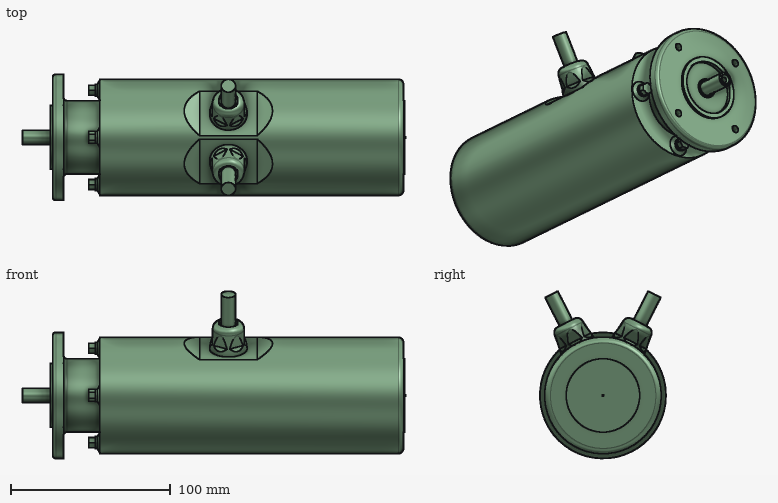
import cadquery as cq
import math


shaft_diameter = 9
shaft_length = 19
shaft_chamfer = 0.25
center_hole_diameter = 3.43
center_hole_depth = 8
center_hole_tip_angle = 120
center_sink_diameter = 6
seal_outer_diameter = 12
seal_inner_diameter = 10.8
seal_height = 1

flange_diameter = 79
flange_thickness = 7
flange_front_fillet = 2
rim_outer_diameter = 40
rim_inner_diameter = 34
rim_height = 1.5
rim_recess_depth = 2.5
mount_hole_diameter = 4.5
mount_circle_diameter = 63
mount_hole_count = 4
mount_first_angle = 45

rim_recess_floor = rim_recess_depth - rim_height

neck_diameter = 46
neck_fillet = 2

housing_diameter = 73
housing_front = 29.6
housing_back = 219.6
housing_back_fillet = 3.5
back_plate_diameter = 46
back_plate_thickness = 0.7
back_pin_diameter = 1
overall_length = 240

screw_count = 4
screw_circle_diameter = 59
screw_seat_diameter = 12.8
screw_seat_height = 1.6
screw_collar_diameter = 7.65
screw_collar_height = 1.4
screw_head_across_flats = 6.5
screw_head_height = 4

gland_position = 110
gland_tilts = (-27, 27)
pocket_floor_radius = 33
pocket_length = 36
pocket_ramp_angle = 20
pocket_cut_width = 60
pocket_cut_clearance = 1

gland_base_diameter = 23.6
gland_hex_across_flats = 20
gland_flat_start = 5.2
gland_flat_runout = 3
gland_neck_diameter = 19.8
gland_height = 18
gland_dome_radius = 4
gland_mouth_diameter = 12
gland_mouth_depth = 2
cable_diameter = 9
cable_tip_height = 38


def rod(start, end, diameter):
    """Round bar along X from start to end."""
    return cq.Workplane("YZ", origin=(start, 0, 0)).circle(diameter / 2).extrude(end - start)


def tilt_about_axis(shape, angle):
    """Turn a shape around the motor axis."""
    return shape.rotate((0, 0, 0), (1, 0, 0), angle)


def hexagon_corners(across_flats):
    """Size across the corners of a hexagon."""
    return across_flats / math.cos(math.radians(30))


def hexagon(height, across_flats):
    """Hexagon sketch across Z at the given height, with two flats facing along X."""
    sketch = cq.Workplane("XY", origin=(0, 0, height)).transformed(rotate=(0, 0, 90))
    return sketch.polygon(6, hexagon_corners(across_flats))


def make_flange():
    flange = rod(0, flange_thickness, flange_diameter).faces("<X").edges().fillet(flange_front_fillet)
    rim = rod(-rim_height, 0, rim_outer_diameter)
    recess = rod(-rim_height, rim_recess_floor, rim_inner_diameter)
    mount_holes = (
        cq.Workplane("YZ")
        .polarArray(mount_circle_diameter / 2, mount_first_angle, 360, mount_hole_count)
        .circle(mount_hole_diameter / 2)
        .extrude(flange_thickness)
    )
    return flange.union(rim).cut(recess).cut(mount_holes)


def make_neck():
    """Round neck with a concave fillet against the back of the flange."""
    radius = neck_diameter / 2
    fillet_end = flange_thickness + neck_fillet
    fillet_middle = neck_fillet * (1 - math.sqrt(0.5))
    return (
        cq.Workplane("XY")
        .moveTo(flange_thickness, 0)
        .lineTo(flange_thickness, radius + neck_fillet)
        .threePointArc((flange_thickness + fillet_middle, radius + fillet_middle), (fillet_end, radius))
        .lineTo(housing_front, radius)
        .lineTo(housing_front, 0)
        .close()
        .revolve(360, (0, 0, 0), (1, 0, 0))
    )


def make_shaft():
    """Shaft with a centre hole in its tip and a seal ring around its root."""
    shaft = rod(-shaft_length, rim_recess_floor, shaft_diameter).faces("<X").edges().chamfer(shaft_chamfer)
    hole_radius = center_hole_diameter / 2
    hole_bottom = center_hole_depth - shaft_length
    hole_tip = hole_bottom + hole_radius / math.tan(math.radians(center_hole_tip_angle / 2))
    sink_radius = center_sink_diameter / 2
    sink_end = sink_radius - hole_radius - shaft_length
    center_hole = (
        cq.Workplane("XY")
        .polyline([
            (-shaft_length, 0),
            (-shaft_length, sink_radius),
            (sink_end, hole_radius),
            (hole_bottom, hole_radius),
            (hole_tip, 0),
        ])
        .close()
        .revolve(360, (0, 0, 0), (1, 0, 0))
    )
    seal_front = rim_recess_floor - seal_height
    seal_ring = rod(seal_front, rim_recess_floor, seal_outer_diameter)
    seal_ring = seal_ring.cut(rod(seal_front, rim_recess_floor, seal_inner_diameter))
    return shaft.cut(center_hole).union(seal_ring)


def make_housing():
    housing = rod(housing_front, housing_back, housing_diameter)
    housing = housing.faces(">X").edges().fillet(housing_back_fillet)
    plate_back = housing_back + back_plate_thickness
    back_plate = rod(housing_back, plate_back, back_plate_diameter)
    back_pin = rod(plate_back, overall_length - shaft_length, back_pin_diameter)
    return housing.union(back_plate).union(back_pin)


def make_screw():
    """Screw above the motor axis: conical seat, round collar and hexagon head."""
    collar_start = screw_seat_height
    head_start = collar_start + screw_collar_height
    seat = (
        cq.Workplane("XY")
        .circle(screw_seat_diameter / 2)
        .workplane(offset=collar_start)
        .circle(screw_collar_diameter / 2)
        .loft()
    )
    collar = cq.Workplane("XY", origin=(0, 0, collar_start)).circle(screw_collar_diameter / 2)
    collar = collar.extrude(screw_collar_height)
    head = hexagon(head_start, screw_head_across_flats).extrude(screw_head_height)
    screw = seat.union(collar).union(head)
    screw = screw.rotate((0, 0, 0), (0, 1, 0), -90)
    return screw.translate((housing_front, 0, screw_circle_diameter / 2))


def make_pocket_cutter():
    """Flat floor with a ramp at each end, long enough to leave the housing."""
    cut_height = housing_diameter / 2 - pocket_floor_radius + pocket_cut_clearance
    half_floor = pocket_length / 2
    half_top = half_floor + cut_height / math.tan(math.radians(pocket_ramp_angle))
    return (
        cq.Workplane("XZ", origin=(gland_position, 0, pocket_floor_radius))
        .polyline([(-half_floor, 0), (half_floor, 0), (half_top, cut_height), (-half_top, cut_height)])
        .close()
        .extrude(pocket_cut_width / 2, both=True)
    )


def make_gland():
    """Upright gland standing on the pocket floor, with its cable."""
    neck_radius = gland_neck_diameter / 2
    dome_start = gland_height - gland_dome_radius
    dome_center = neck_radius - gland_dome_radius
    dome_middle = gland_dome_radius * math.sqrt(0.5)
    nut = (
        cq.Workplane("XZ")
        .lineTo(gland_base_diameter / 2, 0)
        .lineTo(neck_radius, dome_start)
        .threePointArc((dome_center + dome_middle, dome_start + dome_middle), (dome_center, gland_height))
        .lineTo(0, gland_height)
        .close()
        .revolve(360, (0, 0, 0), (0, 1, 0))
    )
    nut_hexagon = hexagon(gland_flat_start, gland_hex_across_flats).extrude(dome_start - gland_flat_start)
    runout_start = gland_flat_start - gland_flat_runout
    runout = (
        hexagon(runout_start, gland_base_diameter)
        .workplane(offset=gland_flat_runout)
        .polygon(6, hexagon_corners(gland_hex_across_flats))
        .loft()
    )
    wrench_blank = cq.Workplane("XY", origin=(0, 0, runout_start)).circle(gland_base_diameter)
    wrench_blank = wrench_blank.extrude(dome_start - runout_start)
    wrench_flats = wrench_blank.cut(nut_hexagon).cut(runout)
    mouth = (
        cq.Workplane("XY", origin=(0, 0, gland_height - gland_mouth_depth))
        .circle(gland_mouth_diameter / 2)
        .extrude(gland_mouth_depth)
    )
    cable = cq.Workplane("XY").circle(cable_diameter / 2).extrude(cable_tip_height)
    gland = nut.cut(wrench_flats).cut(mouth).union(cable)
    return gland.translate((gland_position, 0, pocket_floor_radius))


motor = make_flange().union(make_neck()).union(make_shaft()).union(make_housing())
for index in range(screw_count):
    motor = motor.union(tilt_about_axis(make_screw(), index * 360 / screw_count))
for tilt in gland_tilts:
    motor = motor.cut(tilt_about_axis(make_pocket_cutter(), tilt))

glands = [tilt_about_axis(make_gland(), tilt) for tilt in gland_tilts]

result = cq.Compound.makeCompound([motor.val(), *[gland.val() for gland in glands]])